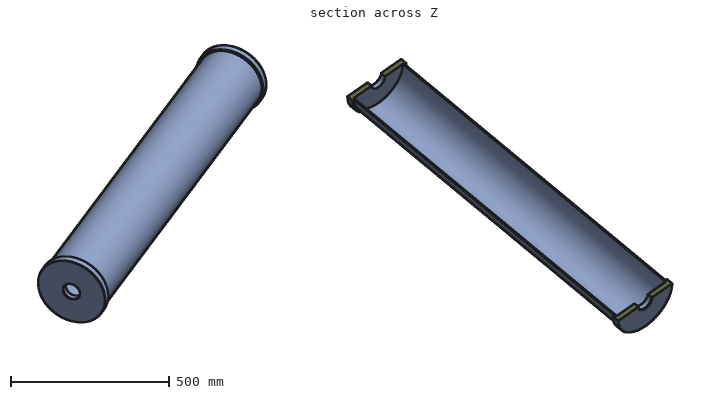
import cadquery as cq

length = 1270.0
cap_diameter = 232.0
cap_thickness = 25.0
cap_edge_chamfer = 0.9
end_wall = 20.0
tube_diameter = 220.0
tube_bore = 210.0
port_rim_diameter = 60.0
port_chamfer = 1.7

half_length = length / 2
cap_inner_face = half_length - cap_thickness
cavity_end = half_length - end_wall

port_diameter = port_rim_diameter - 2 * port_chamfer


def cylinder_along_y(diameter, start, end):
    """Solid cylinder on the Y axis between two Y positions."""
    circle = cq.Workplane("XZ", origin=(0, start, 0)).circle(diameter / 2)
    return circle.extrude(start - end)


def end_cap(side):
    """Cap disc on one end (side is -1 or 1), with its outer edge broken."""
    disc = cylinder_along_y(cap_diameter, side * cap_inner_face, side * half_length)
    outer_face = "<Y" if side < 0 else ">Y"
    return disc.faces(outer_face).edges().chamfer(cap_edge_chamfer)


def port_cutter():
    """Cylinder the full length of the part, flared at both ends to chamfer the port rims."""
    flare_start = half_length - port_chamfer
    outline = [
        (0, -half_length),
        (port_rim_diameter / 2, -half_length),
        (port_diameter / 2, -flare_start),
        (port_diameter / 2, flare_start),
        (port_rim_diameter / 2, half_length),
        (0, half_length),
    ]
    return cq.Workplane("XY").polyline(outline).close().revolve(360, (0, 0, 0), (0, 1, 0))


result = cylinder_along_y(tube_diameter, -cap_inner_face, cap_inner_face)
for side in (-1, 1):
    result = result.union(end_cap(side))

result = result.cut(cylinder_along_y(tube_bore, -cavity_end, cavity_end))

result = result.cut(port_cutter())